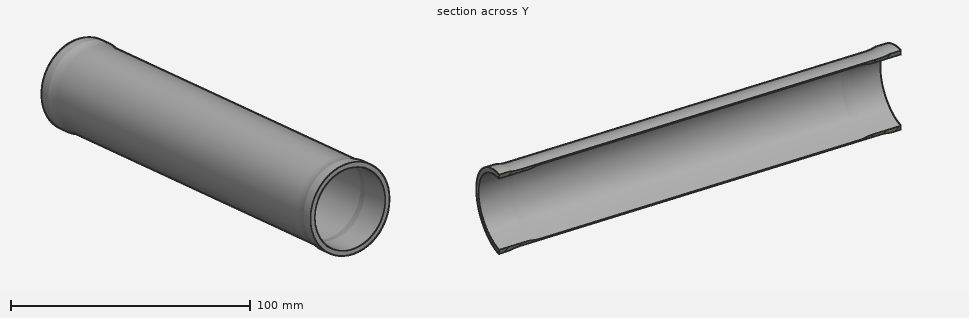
import cadquery as cq
import math

length = 190.0
half_length = length / 2

collar_radius = 20.5
body_diameter = 39.7
body_radius = body_diameter / 2
collar_length = 5.0
collar_blend_length = 5.0

mouth_radius = 18.2
bore_radius = 19.0
mouth_length = 14.2
bore_taper_length = 4.2


def revolve_about_x(profile):
    """Turn a closed half profile around the X axis."""
    return profile.revolve(360, (0, 0, 0), (1, 0, 0))


def outer_shape():
    """Body with a collar at each end, each blended into the body by an arc."""
    blend_start = half_length - collar_length
    blend_end = blend_start - collar_blend_length
    rise = collar_radius - body_radius
    arc_radius = (collar_blend_length**2 + rise**2) / (2 * rise)
    half_angle = math.asin(collar_blend_length / arc_radius) / 2
    blend_middle_x = blend_end + arc_radius * math.sin(half_angle)
    blend_middle_radius = body_radius + arc_radius * (1 - math.cos(half_angle))
    return revolve_about_x(
        cq.Workplane("XY")
        .moveTo(-half_length, 0)
        .lineTo(-half_length, collar_radius)
        .lineTo(-blend_start, collar_radius)
        .threePointArc((-blend_middle_x, blend_middle_radius), (-blend_end, body_radius))
        .lineTo(blend_end, body_radius)
        .threePointArc((blend_middle_x, blend_middle_radius), (blend_start, collar_radius))
        .lineTo(half_length, collar_radius)
        .lineTo(half_length, 0)
        .close()
    )


def bore_shape():
    """Bore with a straight mouth at each end, widening by a taper inside."""
    taper_start = half_length - mouth_length
    taper_end = taper_start - bore_taper_length
    return revolve_about_x(
        cq.Workplane("XY")
        .moveTo(-half_length, 0)
        .lineTo(-half_length, mouth_radius)
        .lineTo(-taper_start, mouth_radius)
        .lineTo(-taper_end, bore_radius)
        .lineTo(taper_end, bore_radius)
        .lineTo(taper_start, mouth_radius)
        .lineTo(half_length, mouth_radius)
        .lineTo(half_length, 0)
        .close()
    )


result = outer_shape().cut(bore_shape())